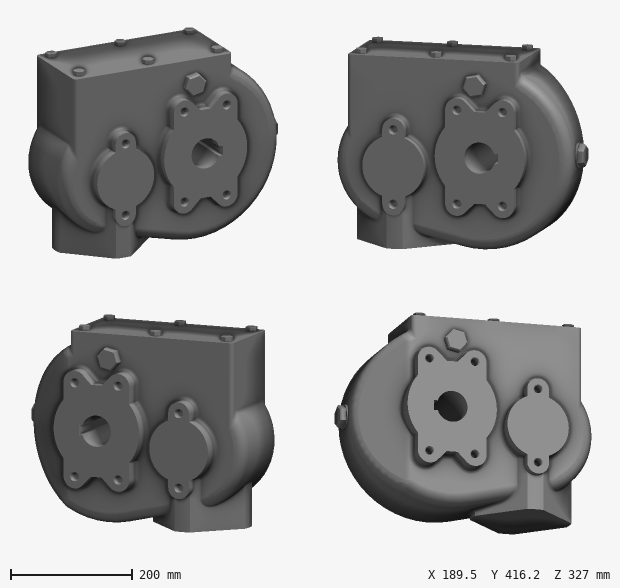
import cadquery as cq
import math


HALF_WIDTH = 70.0
EDGE_ROUND = 19.0
BIG_DRUM_Y, BIG_DRUM_Z, BIG_DRUM_R = -5.0, -5.0, 155.0
SHAFT_Y, SHAFT_Z = -148.0, -22.0
SMALL_DRUM_R = 105.7
TAPER_START_Y = 66.5
TAPER_SLOPE = math.tan(math.radians(30))

BOX_BACK_Y, BOX_FRONT_Y = 60.8, -232.5
BOX_TOP_Z = 159.0
BOX_CORNER_R = 6.5
BLEND_R = 10.0

NECK_R = 84.5
NECK_SQUARE = 137.5
NECK_TURN = 45
NECK_BOTTOM_Z = -160.5
NECK_BLEND_R = 3.7

BOSS_NEAR_X, BOSS_FAR_X = -98.5, 91.0
BOSS_BLEND_R = 6.2
BIG_BOSS_FLARE = 4
BIG_EAR_R = 20.0
BIG_BOSS_R = 77.0
BIG_BOLT_Y, BIG_BOLT_Z = 39.0, 78.5
SMALL_BOSS_R = 53.0
SMALL_BOLT_Z = 62.5
SMALL_EAR_R = 18.7
SCREW_HOLE_R, SCREW_HOLE_DEPTH = 6.2, 25
SCREW_CHAMFER = 1.5
SCREW_POINT = 3.7

BORE_R = 26.2
KEY_TOP_Y = 31.5
KEY_WIDTH = 16.5

COVER_BOLT_R, COVER_BOLT_HEIGHT = 10.0, 7.5
COVER_BOLT_X, COVER_BOLT_PITCH = 50.5, 128.0
COVER_BOLT_TURN = 10
PLUG_R = 19.5
PLUG_CHAMFER = 2.0
SIDE_PLUG_Y, SIDE_PLUG_Z, SIDE_PLUG_END_X = -13.0, 118.2, 83.5
SIDE_PLUG_TURN = 12
REAR_PLUG_X, REAR_PLUG_END_Y = 20.0, 162.5
COLLAR_R, COLLAR_END_Y = 21, 152.0

MARGIN = 0.5
BIG_REACH_Y = BIG_BOSS_R + MARGIN
BIG_REACH_Z = BIG_BOLT_Z + BIG_EAR_R + MARGIN
BIG_FOOT_Y = {-1: (-BIG_REACH_Y, BIG_BOLT_Y + BIG_EAR_R + MARGIN), 1: (-BIG_REACH_Y, BIG_REACH_Y)}
BIG_FOOT_Z = (-BIG_REACH_Z, BIG_REACH_Z)
SMALL_REACH_Y = SMALL_BOSS_R + MARGIN
SMALL_REACH_Z = SMALL_BOLT_Z + SMALL_EAR_R + MARGIN
SMALL_FOOT_Y = (SHAFT_Y - SMALL_REACH_Y, SHAFT_Y + SMALL_REACH_Y)
SMALL_FOOT_Z = (SHAFT_Z - SMALL_REACH_Z, SHAFT_Z + SMALL_REACH_Z)


def side_plane(x=0):
    """Workplane normal to X, with local x along Y and local y along Z."""
    return cq.Workplane("YZ", origin=(x, 0, 0))


def drum_body():
    """Two drums wrapped by their lower common tangent, tapered at the back, with rounded edges."""
    gap_y = SHAFT_Y - BIG_DRUM_Y
    gap_z = SHAFT_Z - BIG_DRUM_Z
    gap = math.hypot(gap_y, gap_z)
    heading = math.atan2(gap_z, gap_y)
    lean = math.acos((BIG_DRUM_R - SMALL_DRUM_R) / gap)

    def rim(center_y, center_z, radius, angle):
        return center_y + radius * math.cos(angle), center_z + radius * math.sin(angle)

    big = (BIG_DRUM_Y, BIG_DRUM_Z, BIG_DRUM_R)
    small = (SHAFT_Y, SHAFT_Z, SMALL_DRUM_R)
    upper, lower = heading - lean, heading + lean
    body = (
        side_plane(-HALF_WIDTH)
        .moveTo(*rim(*big, lower))
        .threePointArc(rim(*big, heading + math.pi), rim(*big, upper))
        .lineTo(*rim(*small, upper))
        .threePointArc(rim(*small, heading), rim(*small, lower))
        .close()
        .extrude(2 * HALF_WIDTH)
    )
    taper_length = 2 * BIG_DRUM_R
    taper = (
        cq.Workplane("XY", origin=(0, 0, -taper_length))
        .moveTo(-HALF_WIDTH, TAPER_START_Y)
        .lineTo(-HALF_WIDTH + taper_length * TAPER_SLOPE, TAPER_START_Y + taper_length)
        .lineTo(-HALF_WIDTH, TAPER_START_Y + taper_length)
        .close()
        .extrude(2 * taper_length)
    )
    taper_facing = cq.selectors.DirectionMinMaxSelector(cq.Vector(1, -TAPER_SLOPE, 0), False)
    tapered = body.cut(taper)
    rims = tapered.faces("<X or >X").edges().add(tapered.faces(taper_facing).edges())
    return rims.fillet(EDGE_ROUND)


def box():
    """Upright box with rounded corners, reaching down into the drums."""
    length = BOX_BACK_Y - BOX_FRONT_Y
    return (
        cq.Workplane("XY", origin=(0, (BOX_BACK_Y + BOX_FRONT_Y) / 2, SHAFT_Z))
        .rect(2 * HALF_WIDTH, length)
        .extrude(BOX_TOP_Z - SHAFT_Z)
        .edges("|Z")
        .fillet(BOX_CORNER_R)
    )


def neck():
    """Square bar standing on its corner, trimmed to a round."""
    height = SHAFT_Z - NECK_BOTTOM_Z
    base = cq.Workplane("XY", origin=(0, SHAFT_Y, NECK_BOTTOM_Z))
    square = base.transformed(rotate=(0, 0, NECK_TURN)).rect(NECK_SQUARE, NECK_SQUARE).extrude(height)
    return base.circle(NECK_R).extrude(height).intersect(square)


def slab(outline, direction):
    """Boss outline pushed out from the middle of the housing to its mounting face."""
    return outline.extrude(BOSS_FAR_X if direction > 0 else BOSS_NEAR_X)


def big_boss(direction):
    """Round bearing boss with four bolt ears, two above and two below."""
    waist_y = BIG_BOLT_Y + BIG_EAR_R
    flank = BIG_EAR_R * math.sqrt(0.5)
    notch_half = BIG_BOLT_Y - flank - (BIG_BOLT_Z + flank - BIG_BOSS_R)
    boss = slab(side_plane().circle(BIG_BOSS_R), direction)
    for up in (-1, 1):
        for back in (-1, 1):
            ear = (
                side_plane()
                .lineTo(back * waist_y, 0)
                .lineTo(back * waist_y, up * BIG_BOLT_Z)
                .threePointArc(
                    (back * BIG_BOLT_Y, up * (BIG_BOLT_Z + BIG_EAR_R)),
                    (back * (BIG_BOLT_Y - flank), up * (BIG_BOLT_Z + flank)),
                )
                .lineTo(back * notch_half, up * BIG_BOSS_R)
                .lineTo(0, up * BIG_BOSS_R)
                .close()
            )
            boss = boss.union(slab(ear, direction))
    return boss


def small_boss(direction):
    """Round bearing boss with one bolt ear above and one below."""
    center = side_plane().center(SHAFT_Y, SHAFT_Z)
    boss = slab(center.circle(SMALL_BOSS_R), direction)
    ears = center.slot2D(2 * (SMALL_BOLT_Z + SMALL_EAR_R), 2 * SMALL_EAR_R, 90)
    return boss.union(slab(ears, direction))


def edges_within(body, x_range, y_range, z_range):
    """Edges of the body whose bounds lie wholly inside the given box."""
    found = []
    for edge in body.edges().vals():
        bounds = edge.BoundingBox()
        in_x = x_range[0] < bounds.xmin and bounds.xmax < x_range[1]
        in_y = y_range[0] < bounds.ymin and bounds.ymax < y_range[1]
        in_z = z_range[0] < bounds.zmin and bounds.zmax < z_range[1]
        if in_x and in_y and in_z:
            found.append(edge)
    return body.newObject(found)


def blend_box(body, wall_y):
    """Round the inside corner where an end wall of the box meets the top of a drum."""
    x_range = (-HALF_WIDTH - MARGIN, HALF_WIDTH + MARGIN)
    y_range = (wall_y - BOX_CORNER_R - MARGIN, wall_y + BOX_CORNER_R + MARGIN)
    corners = edges_within(body, x_range, y_range, (SHAFT_Z, BOX_TOP_Z - MARGIN))
    return corners.edges("not |Z").fillet(BLEND_R)


def add_boss(body, boss, direction, y_range, z_range):
    """Join a boss and round the inside corner around its foot on the flat of the housing side."""
    side_x = direction * HALF_WIDTH
    joined = body.union(boss(direction))
    return edges_within(joined, (side_x - MARGIN, side_x + MARGIN), y_range, z_range).fillet(BOSS_BLEND_R)


def add_neck(body):
    """Join the neck and round the inside corner where it meets the drums and the boss feet."""
    x_range = (-HALF_WIDTH - MARGIN, HALF_WIDTH + MARGIN)
    y_range = (SHAFT_Y - NECK_R - MARGIN, SHAFT_Y + NECK_R + MARGIN)
    z_range = (NECK_BOTTOM_Z + MARGIN, SHAFT_Z - SMALL_BOSS_R + NECK_BLEND_R)
    return edges_within(body.union(neck()), x_range, y_range, z_range).fillet(NECK_BLEND_R)


def boss_flare():
    """Curved foot of the big boss, standing clear of the housing only over the taper."""
    foot_r = BIG_BOSS_R + BIG_BOSS_FLARE
    foot_x = -HALF_WIDTH + (foot_r - TAPER_START_Y) * TAPER_SLOPE
    tangent_x = foot_x - BIG_BOSS_FLARE / TAPER_SLOPE
    return (
        cq.Workplane("XY", origin=(foot_x, 0, 0))
        .lineTo(BOSS_NEAR_X - foot_x, 0)
        .lineTo(BOSS_NEAR_X - foot_x, BIG_BOSS_R)
        .lineTo(tangent_x - foot_x, BIG_BOSS_R)
        .tangentArcPoint((foot_x - tangent_x, BIG_BOSS_FLARE))
        .close()
        .revolve(360, (0, 0, 0), (1, 0, 0))
    )


def cover_bolts():
    """Two rows of hexagon heads on top of the box."""
    spots = [
        (side * COVER_BOLT_X, (BOX_BACK_Y + BOX_FRONT_Y) / 2 + row * COVER_BOLT_PITCH)
        for side in (-1, 1)
        for row in (-1, 0, 1)
    ]
    head = cq.Workplane("XY").polygon(6, 2 * COVER_BOLT_R).extrude(COVER_BOLT_HEIGHT)
    head = head.rotate((0, 0, 0), (0, 0, 1), COVER_BOLT_TURN)
    bolts = cq.Workplane("XY")
    for x, y in spots:
        bolts = bolts.union(head.translate((x, y, BOX_TOP_Z)))
    return bolts


def plug(length):
    """Hexagon plug head along +X from the origin, its outer edges chamfered."""
    return side_plane().polygon(6, 2 * PLUG_R).extrude(length).faces(">X").edges().chamfer(PLUG_CHAMFER)


def side_plugs():
    """Matching hexagon plugs on both sides of the housing."""
    right = plug(SIDE_PLUG_END_X).rotate((0, 0, 0), (1, 0, 0), SIDE_PLUG_TURN)
    right = right.translate((0, SIDE_PLUG_Y, SIDE_PLUG_Z))
    return right.union(right.mirror("YZ"))


def rear_plug():
    """Hexagon plug with a round collar on the back of the big drum."""
    head = plug(REAR_PLUG_END_Y - TAPER_START_Y).rotate((0, 0, 0), (1, 0, 0), 90)
    head = head.rotate((0, 0, 0), (0, 0, 1), 90).translate((REAR_PLUG_X, TAPER_START_Y, 0))
    collar = cq.Workplane("XZ", origin=(REAR_PLUG_X, COLLAR_END_Y, 0)).circle(COLLAR_R)
    return head.union(collar.extrude(COLLAR_END_Y - TAPER_START_Y))


def screw_holes():
    """Chamfered blind holes in every boss ear, with drilled points."""
    big = [(y, z) for y in (-BIG_BOLT_Y, BIG_BOLT_Y) for z in (-BIG_BOLT_Z, BIG_BOLT_Z)]
    small = [(SHAFT_Y, SHAFT_Z + z) for z in (-SMALL_BOLT_Z, SMALL_BOLT_Z)]
    holes = cq.Workplane("YZ")
    for face_x, direction in ((BOSS_NEAR_X, 1), (BOSS_FAR_X, -1)):
        rim = SCREW_HOLE_R + SCREW_CHAMFER
        hole = (
            cq.Workplane("XY", origin=(face_x, 0, 0))
            .lineTo(0, rim)
            .lineTo(direction * SCREW_CHAMFER, SCREW_HOLE_R)
            .lineTo(direction * SCREW_HOLE_DEPTH, SCREW_HOLE_R)
            .lineTo(direction * (SCREW_HOLE_DEPTH + SCREW_POINT), 0)
            .close()
            .revolve(360, (0, 0, 0), (1, 0, 0))
        )
        for y, z in big + small:
            holes = holes.union(hole.translate((0, y, z)))
    return holes


def bore():
    """Output bore with its keyway, right through the big bosses."""
    length = BOSS_FAR_X - BOSS_NEAR_X
    keyway = side_plane(BOSS_NEAR_X).center(KEY_TOP_Y / 2, 0).rect(KEY_TOP_Y, KEY_WIDTH)
    return side_plane(BOSS_NEAR_X).circle(BORE_R).extrude(length).union(keyway.extrude(length))


body = drum_body().union(box())
body = blend_box(body, BOX_FRONT_Y)
body = blend_box(body, BOX_BACK_Y)
for direction in (-1, 1):
    body = add_boss(body, big_boss, direction, BIG_FOOT_Y[direction], BIG_FOOT_Z)
    body = add_boss(body, small_boss, direction, SMALL_FOOT_Y, SMALL_FOOT_Z)
body = body.union(boss_flare())
body = add_neck(body)
body = body.union(cover_bolts()).union(side_plugs()).union(rear_plug())
result = body.cut(screw_holes()).cut(bore())